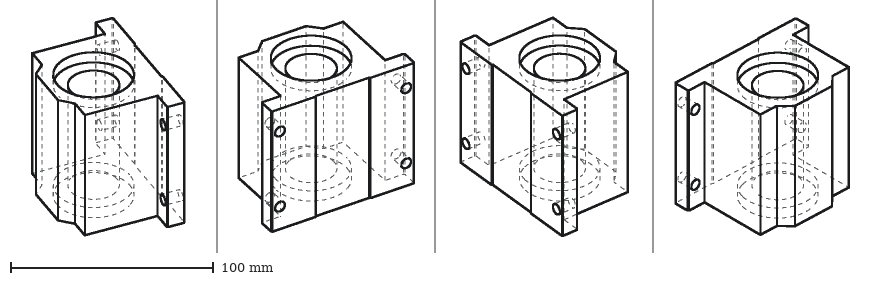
import cadquery as cq

width = 82.55
depth = 55.55
height = 71.5
base_y = 30.1
front_y = base_y - depth

flange_thickness = 9.6
flange_edge_chamfer = 0.5
hole_diameter = 5.6
hole_spacing_x = 73.0
hole_spacing_z = 44.6

body_width = 60.4
rib_height = 6.3
rib_tip_width = 25.4
rib_root_width = rib_tip_width + 2 * rib_height

relief_width = 31.7
relief_depth = 0.5

bore_diameter = 25.4
counterbore_diameter = 39.8
counterbore_depth = 6.0


def make_body():
    """Extrude the right half of the profile and mirror it."""
    flange_front_y = base_y - flange_thickness
    rib_root_y = front_y + rib_height
    half = (
        cq.Workplane("XY")
        .workplane(offset=-height / 2)
        .moveTo(0, base_y - relief_depth)
        .lineTo(relief_width / 2 - relief_depth, base_y - relief_depth)
        .lineTo(relief_width / 2, base_y)
        .lineTo(width / 2, base_y)
        .lineTo(width / 2, flange_front_y)
        .lineTo(body_width / 2, flange_front_y)
        .lineTo(body_width / 2, rib_root_y)
        .lineTo(rib_root_width / 2, rib_root_y)
        .lineTo(rib_tip_width / 2, front_y)
        .lineTo(0, front_y)
        .close()
        .extrude(height)
        .faces(">X")
        .edges("|Z")
        .chamfer(flange_edge_chamfer)
    )
    return half.union(half.mirror("YZ"))


def cut_bore(body):
    """Cut the through bore and an equal counterbore at each end."""
    bore = cq.Workplane("XY").circle(bore_diameter / 2).extrude(height / 2, both=True)
    body = body.cut(bore)
    for face in (">Z", "<Z"):
        end_z = height / 2 if face == ">Z" else -height / 2
        inward = -counterbore_depth if face == ">Z" else counterbore_depth
        counterbore = (
            cq.Workplane("XY")
            .workplane(offset=end_z)
            .circle(counterbore_diameter / 2)
            .extrude(inward)
        )
        body = body.cut(counterbore)
    return body


def cut_mounting_holes(body):
    """Drill two through holes in each flange."""
    holes = (
        cq.Workplane("XZ", origin=(0, base_y, 0))
        .rarray(hole_spacing_x, hole_spacing_z, 2, 2)
        .circle(hole_diameter / 2)
        .extrude(flange_thickness)
    )
    return body.cut(holes)


result = cut_mounting_holes(cut_bore(make_body()))